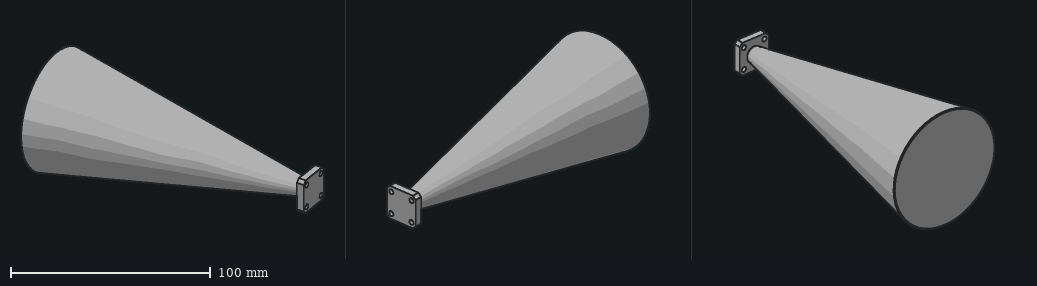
import cadquery as cq

total_length = 152.4
mouth_diameter = 66.1
rim_length = 0.5
rim_inset = 0.6

neck_diameter = 9.5
neck_length = 0.5

flange_size = 19.0
flange_thickness = 4.1
flange_corner_chamfer = 1.8
hole_diameter = 2.7
hole_spacing_y = 13.4
hole_spacing_z = 12.6

flange_start = total_length - flange_thickness
neck_start = flange_start - neck_length
mouth_radius = mouth_diameter / 2
neck_radius = neck_diameter / 2


def make_horn():
    """Solid cone with a bevelled mouth rim and a short straight neck."""
    return (
        cq.Workplane("XZ")
        .moveTo(0, 0)
        .lineTo(0, mouth_radius - rim_inset)
        .lineTo(rim_length, mouth_radius)
        .lineTo(neck_start, neck_radius)
        .lineTo(flange_start, neck_radius)
        .lineTo(flange_start, 0)
        .close()
        .revolve(360, (0, 0, 0), (1, 0, 0))
    )


def make_flange():
    """Square plate with chamfered corners and four through holes."""
    return (
        cq.Workplane("YZ", origin=(flange_start, 0, 0))
        .rect(flange_size, flange_size)
        .extrude(flange_thickness)
        .edges("|X")
        .chamfer(flange_corner_chamfer)
        .faces(">X")
        .workplane()
        .rect(hole_spacing_y, hole_spacing_z, forConstruction=True)
        .vertices()
        .hole(hole_diameter)
    )


result = make_horn().union(make_flange())